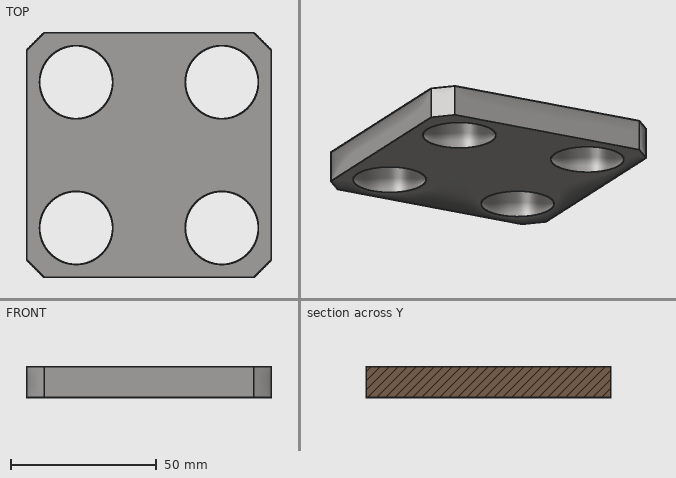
import cadquery as cq

plate_side = 84.0
plate_thickness = 10.6
corner_chamfer = 6.0
hole_diameter = 25.0
hole_spacing = 50.0


def chamfered_plate():
    """Square plate resting on the XY plane, with its four upright corners cut off."""
    plate = cq.Workplane("XY").box(plate_side, plate_side, plate_thickness, centered=(True, True, False))
    return plate.edges("|Z").chamfer(corner_chamfer)


def drill_corner_holes(plate):
    """Through holes on a square pattern centred on the plate."""
    return (
        plate.faces(">Z")
        .workplane(origin=(0, 0, 0))
        .rarray(hole_spacing, hole_spacing, 2, 2)
        .hole(hole_diameter)
    )


result = drill_corner_holes(chamfered_plate())